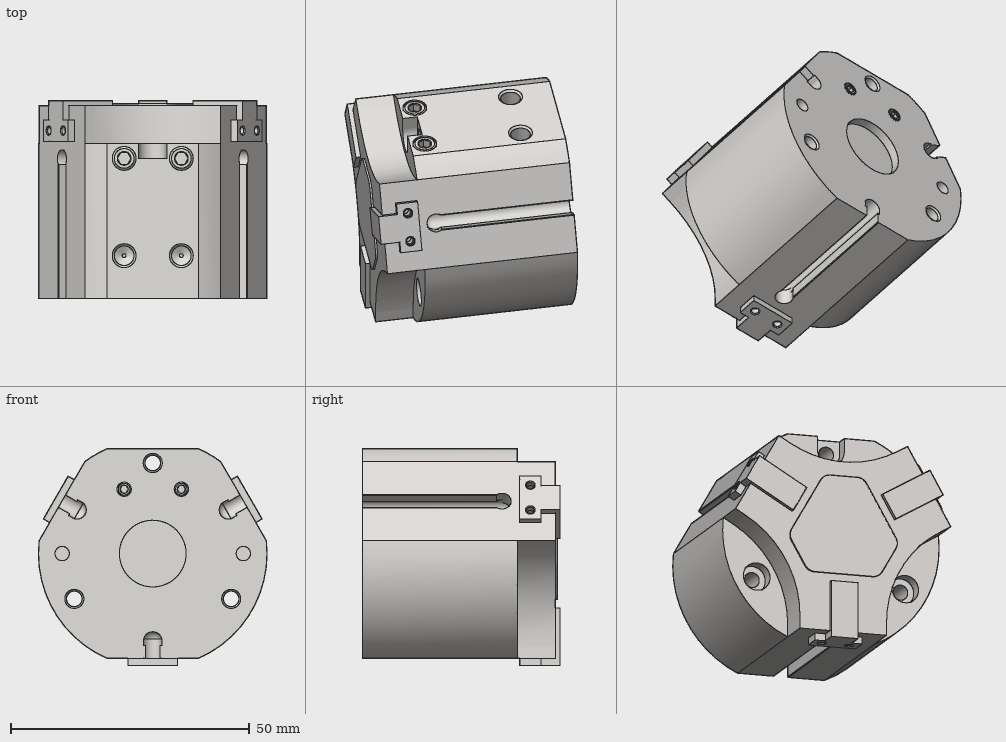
import cadquery as cq
import math


body_radius = 24.0
flat_distance = 22.0
shoulder_y = 32.5
housing_length = 40.5
flat_half_width = math.sqrt(body_radius**2 - flat_distance**2)
lobe_wall_depth = 2.5
valley_radius = 14.75
port_flat_angle = 90
jaw_angles = (30, 150, 270)
lobe_step = 120

cover_thickness = 0.4
cover_long_side_distance = 9.6
cover_short_side_distance = 11.6
cover_corner_radius = 2.5

recess_diameter = 14.0
recess_depth = 2.0
dowel_diameter = 3.0
dowel_offset = 19.0
dowel_depth = 4.0
bolt_circle_radius = 19.0
bolt_angles = (90, 210, 330)
bolt_diameter = 3.24
bolt_mouth_diameter = 4.0
bolt_head_diameter = 5.9
bolt_head_floor_y = 29.4

screw_offset_x = 6.0
face_screw_z = 13.5
face_screw_diameter = 3.0
face_screw_tip = 2.46
face_screw_socket = 1.5
face_screw_length = 3.0
port_y = 9.0
port_core = 4.13
port_mouth = 5.0
port_depth = 8.0
plug_y = 29.4
plug_diameter = 5.0
plug_tip = 4.13
plug_socket = 2.5
plug_length = 4.0
air_bore_diameter = 0.8
air_bore_depth = 2.0
drill_point_angle = 118.0

groove_neck_width = 3.0
groove_head_width = 3.8
groove_neck_depth = 2.75
groove_depth = 5.6
groove_dome_height = 1.5
groove_mouth_chamfer = 0.15
groove_end_y = 29.3

jaw_thickness = 1.5
jaw_neck_width = 5.9
jaw_base_width = 10.4
jaw_base_front_y = 33.0
jaw_base_back_y = 37.5
jaw_back_y = 41.5
jaw_inner_radius = 11.4
jaw_hole_spacing = 6.0
jaw_hole_core = 1.57
jaw_hole_mouth = 2.0
jaw_hole_depth = 4.5


def slab(y):
    """Workplane across the gripper axis at height y; a negative extrusion runs to +Y."""
    return cq.Workplane("XZ", origin=(0, y, 0))


def about_axis(shape, angle):
    """Turn a shape built toward -Z so that it points along the given angle in the XZ plane."""
    return shape.rotate((0, 0, 0), (0, 1, 0), 270 - angle)


def polar(tangential, radial, angle):
    """Point at a radial distance along an angle and a tangential distance beside it."""
    a = math.radians(angle)
    return (
        radial * math.cos(a) - tangential * math.sin(a),
        radial * math.sin(a) + tangential * math.cos(a),
    )


def countersunk_tool(core, mouth, depth):
    """Hole along -Z from the origin with a 45 degree mouth."""
    chamfer = (mouth - core) / 2
    profile = [
        (0, 0), (mouth / 2, 0), (core / 2, -chamfer), (core / 2, -depth), (0, -depth),
    ]
    return cq.Workplane("XZ").polyline(profile).close().revolve(360, (0, 0), (0, 1))


def set_screw(diameter, tip_diameter, length, socket):
    """Headless screw along -Z from the origin, with a chamfered end and a countersunk hexagon socket."""
    body = cq.Workplane("XY").circle(diameter / 2).extrude(-length)
    body = body.faces(">Z").chamfer((diameter - tip_diameter) / 2)
    corner_diameter = socket / math.cos(math.radians(30))
    body = body.faces(">Z").workplane().polygon(6, corner_diameter).cutBlind(-length / 2)
    rim_radius = corner_diameter / 2
    lead_in = cq.Solid.makeCone(
        rim_radius, socket / 2, rim_radius - socket / 2, cq.Vector(0, 0, 0), cq.Vector(0, 0, -1)
    )
    return body.cut(cq.Workplane(lead_in))


def on_mounting_face(shape, x, z):
    """Place a shape built along -Z so that it enters the mounting face."""
    return shape.rotate((0, 0, 0), (1, 0, 0), 90).translate((x, 0, z))


def on_port_flat(shape, x, y):
    """Place a shape built along -Z so that it enters the port flat."""
    return shape.translate((x, y, flat_distance))


def front_section():
    """Round block with the port flat and the three jaw flats."""
    block = slab(0).circle(body_radius).extrude(-shoulder_y)
    span = 2 * body_radius
    for angle in (port_flat_angle, *jaw_angles):
        beyond = cq.Workplane("XY").box(span, 2 * shoulder_y, span)
        beyond = beyond.translate((0, shoulder_y, -flat_distance - span / 2))
        block = block.cut(about_axis(beyond, angle))
    return block


def rear_section():
    """Three lobes behind the jaw flats, joined by concave valleys."""
    wall_end = flat_distance - lobe_wall_depth
    outline = slab(shoulder_y).moveTo(*polar(-flat_half_width, wall_end, jaw_angles[0]))
    for angle in jaw_angles:
        outline = outline.lineTo(*polar(-flat_half_width, flat_distance, angle))
        outline = outline.lineTo(*polar(flat_half_width, flat_distance, angle))
        outline = outline.lineTo(*polar(flat_half_width, wall_end, angle))
        outline = outline.threePointArc(
            polar(0, valley_radius, angle + lobe_step / 2),
            polar(-flat_half_width, wall_end, angle + lobe_step),
        )
    return outline.close().extrude(shoulder_y - housing_length)


def cover_plate():
    """Raised hexagonal plate on the rear face."""
    half_side = (cover_long_side_distance - cover_short_side_distance / 2) / math.cos(math.radians(30))
    corners = []
    for angle in jaw_angles:
        valley_angle = angle + lobe_step / 2
        corners.append(polar(-half_side, cover_short_side_distance, valley_angle))
        corners.append(polar(half_side, cover_short_side_distance, valley_angle))
    plate = slab(housing_length).polyline(corners).close().extrude(-cover_thickness)
    return plate.edges("|Y").fillet(cover_corner_radius)


def cut_bolt_holes(body):
    for angle in bolt_angles:
        x, z = polar(0, bolt_circle_radius, angle)
        hole = countersunk_tool(bolt_diameter, bolt_mouth_diameter, housing_length)
        body = body.cut(on_mounting_face(hole, x, z))
        head = slab(bolt_head_floor_y).center(x, z).circle(bolt_head_diameter / 2)
        body = body.cut(head.extrude(bolt_head_floor_y - housing_length))
    opening_height = flat_distance - bolt_circle_radius
    opening = (
        slab(bolt_head_floor_y)
        .center(0, bolt_circle_radius + opening_height / 2)
        .rect(bolt_head_diameter, opening_height)
        .extrude(bolt_head_floor_y - shoulder_y)
    )
    return body.cut(opening)


def air_port_tool():
    """Countersunk drilled port along -Z with a narrow air bore at its point."""
    point_length = port_core / 2 / math.tan(math.radians(drill_point_angle / 2))
    tip = cq.Solid.makeCone(
        port_core / 2, 0, point_length, cq.Vector(0, 0, -port_depth), cq.Vector(0, 0, -1)
    )
    bore = cq.Workplane("XY").circle(air_bore_diameter / 2)
    bore = bore.extrude(-(port_depth + point_length + air_bore_depth))
    return countersunk_tool(port_core, port_mouth, port_depth).union(cq.Workplane(tip)).union(bore)


def sensor_groove_tool():
    """Undercut groove in a flat facing -Z, ending in a domed insertion bore."""
    mouth_z = -flat_distance
    ledge_z = mouth_z + groove_neck_depth
    floor_z = mouth_z + groove_depth
    spring_z = floor_z - groove_dome_height
    chamfer_z = mouth_z + groove_mouth_chamfer
    neck_half = groove_neck_width / 2
    head_half = groove_head_width / 2
    dome_radius = (head_half**2 + groove_dome_height**2) / (2 * groove_dome_height)
    quarter_x = head_half / 2
    quarter_z = floor_z - dome_radius + math.sqrt(dome_radius**2 - quarter_x**2)

    neck = (
        slab(0)
        .polyline([
            (-neck_half - groove_mouth_chamfer, mouth_z),
            (neck_half + groove_mouth_chamfer, mouth_z),
            (neck_half, chamfer_z),
            (neck_half, ledge_z),
            (-neck_half, ledge_z),
            (-neck_half, chamfer_z),
        ])
        .close()
        .extrude(-groove_end_y)
    )
    head = (
        slab(0)
        .moveTo(-head_half, ledge_z)
        .lineTo(head_half, ledge_z)
        .lineTo(head_half, spring_z)
        .threePointArc((0, floor_z), (-head_half, spring_z))
        .close()
        .extrude(-groove_end_y)
    )
    bore = (
        slab(groove_end_y)
        .moveTo(0, mouth_z)
        .lineTo(head_half, mouth_z)
        .lineTo(head_half, spring_z)
        .threePointArc((quarter_x, quarter_z), (0, floor_z))
        .close()
        .revolve(360, (0, 0), (0, 1))
    )
    return neck.union(head).union(bore)


def make_housing():
    body = front_section().union(rear_section()).union(cover_plate())
    body = body.cut(slab(0).circle(recess_diameter / 2).extrude(-recess_depth))
    dowels = slab(0).pushPoints([(-dowel_offset, 0), (dowel_offset, 0)])
    body = body.cut(dowels.circle(dowel_diameter / 2).extrude(-dowel_depth))
    body = cut_bolt_holes(body)

    face_hole = cq.Workplane("XY").circle(face_screw_diameter / 2).extrude(-face_screw_length)
    plug_hole = cq.Workplane("XY").circle(plug_diameter / 2).extrude(-plug_length)
    for x in (-screw_offset_x, screw_offset_x):
        body = body.cut(on_mounting_face(face_hole, x, face_screw_z))
        body = body.cut(on_port_flat(plug_hole, x, plug_y))
        body = body.cut(on_port_flat(air_port_tool(), x, port_y))

    for angle in jaw_angles:
        body = body.cut(about_axis(sensor_groove_tool(), angle))
        for hole in jaw_hole_tools():
            body = body.cut(about_axis(hole, angle))
    return body


def jaw_hole_tools():
    """The two fixing holes of a jaw facing -Z, running on into the housing."""
    hole = countersunk_tool(jaw_hole_core, jaw_hole_mouth, jaw_hole_depth).rotate((0, 0, 0), (1, 0, 0), 180)
    y = (jaw_base_front_y + jaw_base_back_y) / 2
    outer = flat_distance + jaw_thickness
    return [hole.translate((x, y, -outer)) for x in (-jaw_hole_spacing / 2, jaw_hole_spacing / 2)]


def make_jaw(angle):
    """T-shaped plate on a lobe flat with an arm reaching inward over the rear face."""
    outer = flat_distance + jaw_thickness
    base_length = jaw_base_back_y - jaw_base_front_y
    base_center_y = (jaw_base_front_y + jaw_base_back_y) / 2
    base = cq.Workplane("XY", origin=(0, base_center_y, -outer)).rect(jaw_base_width, base_length)
    base = base.extrude(jaw_thickness)
    neck_length = jaw_back_y - jaw_base_back_y
    neck = cq.Workplane("XY", origin=(0, jaw_back_y - neck_length / 2, -outer))
    neck = neck.rect(jaw_neck_width, neck_length).extrude(jaw_thickness)
    arm = slab(housing_length).center(0, -(outer + jaw_inner_radius) / 2)
    arm = arm.rect(jaw_neck_width, outer - jaw_inner_radius).extrude(housing_length - jaw_back_y)
    jaw = base.union(neck).union(arm)
    for hole in jaw_hole_tools():
        jaw = jaw.cut(hole)
    return about_axis(jaw, angle)


housing = make_housing()
jaws = [make_jaw(angle) for angle in jaw_angles]
face_screw = set_screw(face_screw_diameter, face_screw_tip, face_screw_length, face_screw_socket)
port_plug = set_screw(plug_diameter, plug_tip, plug_length, plug_socket)
face_screws = [on_mounting_face(face_screw, x, face_screw_z) for x in (-screw_offset_x, screw_offset_x)]
port_plugs = [on_port_flat(port_plug, x, plug_y) for x in (-screw_offset_x, screw_offset_x)]

result = cq.Compound.makeCompound(
    [body.val() for body in (housing, *jaws, *face_screws, *port_plugs)]
)